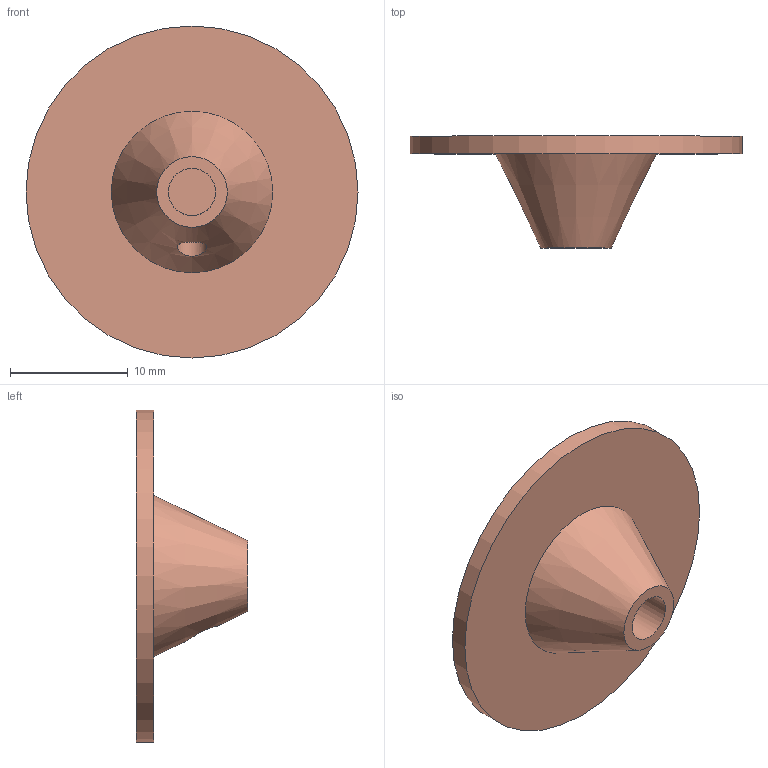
import cadquery as cq

flange_diameter = 28.2
flange_thickness = 1.5

hub_length = 8.0
hub_base_diameter = 13.7
hub_tip_diameter = 6.0

bore_diameter = 4.0
bore_depth = hub_length

screw_hole_diameter = 2.5
screw_hole_from_flange = 4.15

hub_tip_y = -hub_length


def make_body():
    """Flange and hub, revolved from one half profile about the Y axis."""
    return (
        cq.Workplane("YZ")
        .moveTo(flange_thickness, 0)
        .lineTo(flange_thickness, flange_diameter / 2)
        .lineTo(0, flange_diameter / 2)
        .lineTo(0, hub_base_diameter / 2)
        .lineTo(hub_tip_y, hub_tip_diameter / 2)
        .lineTo(hub_tip_y, 0)
        .close()
        .revolve(360, (0, 0, 0), (1, 0, 0))
    )


def make_bore():
    """Cylinder along +Y, starting at the hub tip."""
    start = cq.Vector(0, hub_tip_y, 0)
    return cq.Solid.makeCylinder(bore_diameter / 2, bore_depth, start, cq.Vector(0, 1, 0))


def make_screw_hole():
    """Cylinder along -Z, from the bore axis out past the hub wall."""
    start = cq.Vector(0, -screw_hole_from_flange, 0)
    length = hub_base_diameter / 2
    return cq.Solid.makeCylinder(screw_hole_diameter / 2, length, start, cq.Vector(0, 0, -1))


result = make_body().cut(make_bore()).cut(make_screw_hole())